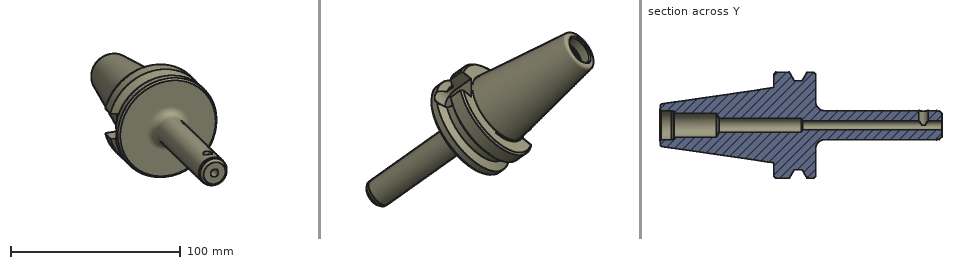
import cadquery as cq
import math

TOTAL_LENGTH = 167.0

TAPER_LENGTH = 65.5
GAUGE_DIAMETER = 44.5
TAPER_RATE = 7 / 24
NOSE_FILLET = 2.0
COLLAR_FILLET = 0.7

FLANGE_DIAMETER = 63.0
FLANGE_START = 67.3
FLANGE_END = 92.4
FLANGE_CHAMFER = 1.2
GROOVE_CENTER = 81.8
GROOVE_FLOOR_WIDTH = 4.5
GROOVE_DEPTH = 5.0
GROOVE_FLANK_ANGLE = 30.0

SLOT_WIDTH = 16.0
SLOT_FLOOR = 22.5
SLOT_END = 88.5

SHANK_DIAMETER = 17.5
SHANK_FILLET = 5.0
TIP_DIAMETER = 17.0
TIP_LENGTH = 3.3
TIP_FACE_DIAMETER = 13.9
TIP_CHAMFER_LENGTH = 1.7

MOUTH_DIAMETER = 18.7
COUNTERBORE_DIAMETER = 17.0
COUNTERBORE_DEPTH = 6.8
SEAT_DIAMETER = 16.4
SEAT_CONE_LENGTH = 1.0
SEAT_DEPTH = 8.5
SCREW_BORE_DIAMETER = 13.9
SCREW_BORE_DEPTH = 33.4
MIDDLE_BORE_DIAMETER = 8.0
MIDDLE_BORE_DEPTH = 83.5
COOLANT_DIAMETER = 4.8
BORE_CONE_HALF_ANGLE = 60.0

OUTLET_DIAMETER = 5.3
OUTLET_X = 156.0


def make_body():
    """Revolve the outer profile, then round the nose."""
    gauge_radius = GAUGE_DIAMETER / 2
    nose_radius = gauge_radius - TAPER_LENGTH * TAPER_RATE / 2
    flange_radius = FLANGE_DIAMETER / 2
    chamfered_radius = flange_radius - FLANGE_CHAMFER
    shank_radius = SHANK_DIAMETER / 2
    tip_radius = TIP_DIAMETER / 2

    floor_radius = flange_radius - GROOVE_DEPTH
    floor_half = GROOVE_FLOOR_WIDTH / 2
    mouth_half = floor_half + GROOVE_DEPTH * math.tan(math.radians(GROOVE_FLANK_ANGLE))

    fillet_end = (FLANGE_END + SHANK_FILLET, shank_radius)
    profile = (
        cq.Workplane("XY")
        .polyline([
            (0, 0),
            (0, nose_radius),
            (TAPER_LENGTH, gauge_radius),
            (FLANGE_START - COLLAR_FILLET, gauge_radius),
        ])
        .radiusArc((FLANGE_START, gauge_radius + COLLAR_FILLET), -COLLAR_FILLET)
        .polyline([
            (FLANGE_START, chamfered_radius),
            (FLANGE_START + FLANGE_CHAMFER, flange_radius),
            (GROOVE_CENTER - mouth_half, flange_radius),
            (GROOVE_CENTER - floor_half, floor_radius),
            (GROOVE_CENTER + floor_half, floor_radius),
            (GROOVE_CENTER + mouth_half, flange_radius),
            (FLANGE_END - FLANGE_CHAMFER, flange_radius),
            (FLANGE_END, chamfered_radius),
            (FLANGE_END, shank_radius + SHANK_FILLET),
        ], includeCurrent=True)
        .radiusArc(fillet_end, -SHANK_FILLET)
        .lineTo(TOTAL_LENGTH - TIP_LENGTH, shank_radius)
        .lineTo(TOTAL_LENGTH - TIP_LENGTH, tip_radius)
        .lineTo(TOTAL_LENGTH - TIP_CHAMFER_LENGTH, tip_radius)
        .lineTo(TOTAL_LENGTH, TIP_FACE_DIAMETER / 2)
        .lineTo(TOTAL_LENGTH, 0)
        .close()
    )
    body = profile.revolve(360, (0, 0, 0), (1, 0, 0))
    return body.faces("<X").edges().fillet(NOSE_FILLET)


def make_slot(side):
    """Round-ended drive slot, open toward the taper; side is +1 or -1 along Y."""
    half_width = SLOT_WIDTH / 2
    cut_depth = FLANGE_DIAMETER / 2
    return (
        cq.Workplane("XZ", origin=(0, side * SLOT_FLOOR, 0))
        .moveTo(FLANGE_START - COLLAR_FILLET, -half_width)
        .lineTo(SLOT_END - half_width, -half_width)
        .threePointArc((SLOT_END, 0), (SLOT_END - half_width, half_width))
        .lineTo(FLANGE_START - COLLAR_FILLET, half_width)
        .close()
        .extrude(-side * cut_depth)
    )


def make_bore():
    """Stepped axial bore with conical transitions, running the full length."""
    mouth_radius = MOUTH_DIAMETER / 2
    counterbore_radius = COUNTERBORE_DIAMETER / 2
    seat_radius = SEAT_DIAMETER / 2
    screw_radius = SCREW_BORE_DIAMETER / 2
    middle_radius = MIDDLE_BORE_DIAMETER / 2
    coolant_radius = COOLANT_DIAMETER / 2
    cone_slope = math.tan(math.radians(BORE_CONE_HALF_ANGLE))

    def cone_length(large_radius, small_radius):
        return (large_radius - small_radius) / cone_slope

    return (
        cq.Workplane("XY")
        .polyline([
            (0, 0),
            (0, mouth_radius),
            (mouth_radius - counterbore_radius, counterbore_radius),
            (COUNTERBORE_DEPTH, counterbore_radius),
            (COUNTERBORE_DEPTH + SEAT_CONE_LENGTH, seat_radius),
            (SEAT_DEPTH, seat_radius),
            (SEAT_DEPTH, screw_radius),
            (SCREW_BORE_DEPTH, screw_radius),
            (SCREW_BORE_DEPTH + cone_length(screw_radius, middle_radius), middle_radius),
            (MIDDLE_BORE_DEPTH, middle_radius),
            (MIDDLE_BORE_DEPTH + cone_length(middle_radius, coolant_radius), coolant_radius),
            (TOTAL_LENGTH, coolant_radius),
            (TOTAL_LENGTH, 0),
        ])
        .close()
        .revolve(360, (0, 0, 0), (1, 0, 0))
    )


def make_outlet():
    """Radial hole from the top of the shank down to the coolant bore."""
    return (
        cq.Workplane("XY", origin=(OUTLET_X, 0, 0))
        .circle(OUTLET_DIAMETER / 2)
        .extrude(SHANK_DIAMETER)
    )


result = make_body()
for slot_side in (-1, 1):
    result = result.cut(make_slot(slot_side))
result = result.cut(make_bore()).cut(make_outlet())